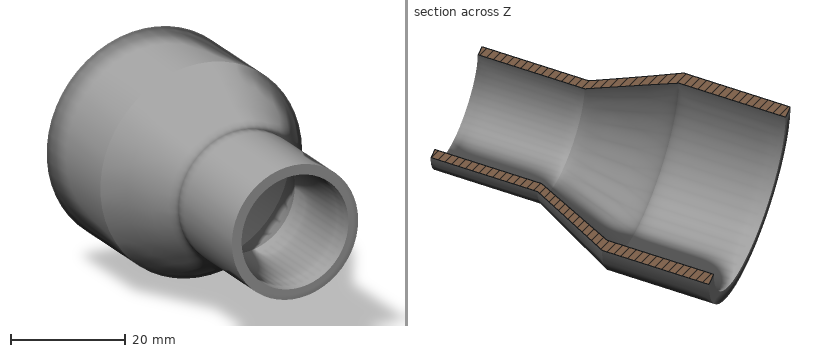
import cadquery as cq

total_length = 55
socket_length = 20.0
wide_diameter = 40.0
wide_bore = 35.2
narrow_diameter = 25.0
narrow_bore = 21.2

cone_start = socket_length
cone_end = total_length - socket_length


def stepped_cone(start_diameter, end_diameter):
    """Solid of revolution: wide cylinder, straight taper, narrow cylinder."""
    start_radius = start_diameter / 2
    end_radius = end_diameter / 2
    return (
        cq.Workplane("XY")
        .moveTo(0, 0)
        .lineTo(0, start_radius)
        .lineTo(cone_start, start_radius)
        .lineTo(cone_end, end_radius)
        .lineTo(total_length, end_radius)
        .lineTo(total_length, 0)
        .close()
        .revolve(360, (0, 0, 0), (1, 0, 0))
    )


outer_body = stepped_cone(wide_diameter, narrow_diameter)
bore = stepped_cone(wide_bore, narrow_bore)
result = outer_body.cut(bore)